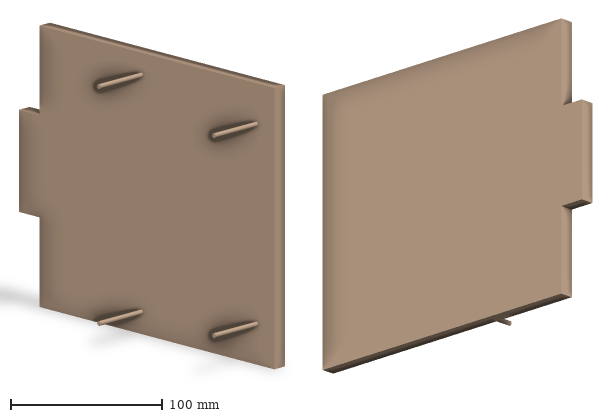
import cadquery as cq

total_length = 236.73
tab_length = 18.8
tab_height = 70.1
panel_length = total_length - tab_length
panel_height = 193.04
plate_thickness = 10.0

total_depth = 50.0
pin_length = total_depth - plate_thickness
pin_diameter = 3.175

inner_pin_x = 113.5
pin_pitch_x = 106.68
outer_pin_x = inner_pin_x + pin_pitch_x
inner_pin_inset = 15.24
outer_pin_inset = 27.94
pin_centres = [
    (x, z)
    for x, inset in ((inner_pin_x, inner_pin_inset), (outer_pin_x, outer_pin_inset))
    for z in (inset, panel_height - inset)
]


def make_plate():
    """Panel and tab, with the -Y face at y = 0 and the tab edge at x = 0."""
    panel = cq.Workplane("XY").box(
        panel_length, plate_thickness, panel_height, centered=False
    ).translate((tab_length, 0, 0))
    tab_bottom = (panel_height - tab_height) / 2
    tab = cq.Workplane("XY").box(
        tab_length, plate_thickness, tab_height, centered=False
    ).translate((0, 0, tab_bottom))
    return panel.union(tab)


def make_pins():
    """Round pins pointing toward -Y from the plate face."""
    return (
        cq.Workplane("XZ")
        .pushPoints(pin_centres)
        .circle(pin_diameter / 2)
        .extrude(pin_length)
    )


result = make_plate().union(make_pins())